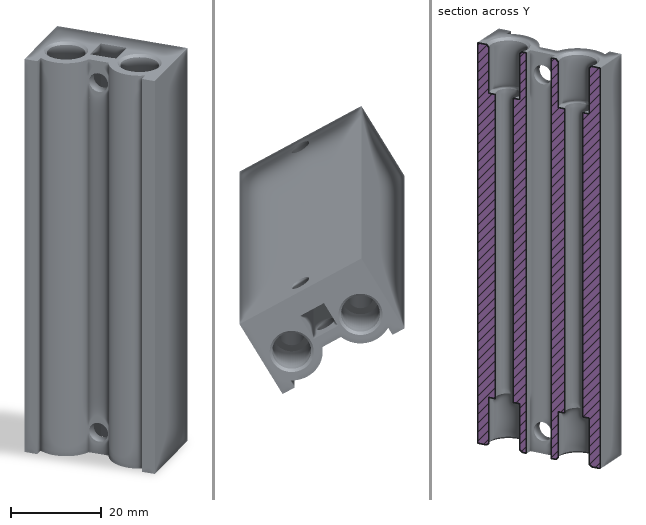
import cadquery as cq
import math

width = 31.0
depth = 19.0
length = 95.0

rib_width = 3.0
lobe_radius = 6.8
bore_x = 8.7
bore_y = 7.7
web_y = 5.2

passage_diameter = 5.7
port_diameter = 8.55
port_depth = 11.4
port_chamfer = 0.6

channel_size = 6.2
channel_y = 10.9

mount_diameter = 4.5
mount_end_distance = 5.2


def lobe_y(x):
    """Front surface of the right-hand lobe at a given X."""
    return bore_y - math.sqrt(lobe_radius**2 - (x - bore_x) ** 2)


def extruded_body():
    half_width = width / 2
    rib_x = half_width - rib_width
    web_x = bore_x - math.sqrt(lobe_radius**2 - (bore_y - web_y) ** 2)
    lobe_tip_y = bore_y - lobe_radius
    rib_root_y = lobe_y(rib_x)
    return (
        cq.Workplane("XY")
        .moveTo(-half_width, depth)
        .lineTo(-half_width, 0)
        .lineTo(-rib_x, 0)
        .lineTo(-rib_x, rib_root_y)
        .threePointArc((-bore_x, lobe_tip_y), (-web_x, web_y))
        .lineTo(web_x, web_y)
        .threePointArc((bore_x, lobe_tip_y), (rib_x, rib_root_y))
        .lineTo(rib_x, 0)
        .lineTo(half_width, 0)
        .lineTo(half_width, depth)
        .close()
        .extrude(length)
    )


def bore_cutter(x):
    """Stepped bore, revolved from its half section about the bore axis."""
    passage_radius = passage_diameter / 2
    port_radius = port_diameter / 2
    mouth_radius = port_radius + port_chamfer
    return (
        cq.Workplane("XZ", origin=(x, bore_y, 0))
        .polyline([
            (0, 0),
            (mouth_radius, 0),
            (port_radius, port_chamfer),
            (port_radius, port_depth),
            (passage_radius, port_depth),
            (passage_radius, length - port_depth),
            (port_radius, length - port_depth),
            (port_radius, length - port_chamfer),
            (mouth_radius, length),
            (0, length),
        ])
        .close()
        .revolve(360, (0, 0, 0), (0, 1, 0))
    )


def channel_cutter():
    return (
        cq.Workplane("XY")
        .center(0, channel_y)
        .rect(channel_size, channel_size)
        .extrude(length)
    )


def mount_hole_cutter(z):
    return cq.Workplane("XZ").center(0, z).circle(mount_diameter / 2).extrude(-depth)


result = extruded_body().cut(channel_cutter())
for x in (-bore_x, bore_x):
    result = result.cut(bore_cutter(x))
for z in (mount_end_distance, length - mount_end_distance):
    result = result.cut(mount_hole_cutter(z))